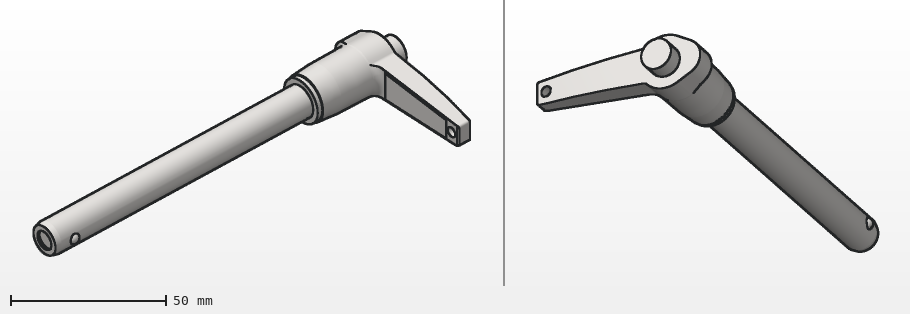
import cadquery as cq
import math


TOTAL_LENGTH = 150.6
HEAD_BACK = 144.1
HEAD_FRONT = 135.7
SLEEVE_BREAK = 119.6
COLLAR_BACK = 111.9
COLLAR_FRONT = 110

SHANK_RADIUS = 12 / 2
TIP_CHAMFER_LENGTH = 2.3
TIP_RADIUS = 5.4
TIP_RECESS_RADIUS = 6.8 / 2
TIP_RECESS_DEPTH = 0.9
BUTTON_RADIUS = 10.7 / 2
BALL_RADIUS = 4.0 / 2
BALL_POSITION = 7.8
BALL_PROTRUSION = 1.2

HEAD_RADIUS = 18.8 / 2
NECK_RADIUS = 9.3
SLEEVE_MID_RADIUS = 9.2
SLEEVE_END_RADIUS = 8.6
COLLAR_RADIUS = 16.4 / 2
FLARE_RADIUS = 2.5
LUG_REACH = 12.7
LUG_RADIUS = 6.5

HANDLE_END = 60.2 - LUG_REACH
HANDLE_ROOT_HALF_WIDTH = 6.2
HANDLE_END_HALF_WIDTH = 4.0
HANDLE_NECK_RADIUS = 1.5
HANDLE_CURVE_START = 8.1
HANDLE_END_DROP = 3.5
HANDLE_END_ROUND = 0.9
END_BEVEL_LENGTH = 0.9
END_BEVEL_DEPTH = 0.3
PAD_START = 12
PAD_END = 41.7
PAD_HEIGHT = 0.3
PAD_BEVEL = 0.6
LANYARD_HOLE_RADIUS = 3.6 / 2
LANYARD_HOLE_X = 44.1

CLEARANCE = 1.5


def extrude_along_y(outline, start, end):
    """Extrude an XZ outline, given as a function of a workplane, between two Y positions."""
    return outline(cq.Workplane("XZ", origin=(0, end, 0))).extrude(end - start)


def handle_half_width(x):
    """Half width of the straight-tapered handle at a distance from the pin axis."""
    taper = (HANDLE_ROOT_HALF_WIDTH - HANDLE_END_HALF_WIDTH) / (HANDLE_END - HANDLE_CURVE_START)
    return HANDLE_ROOT_HALF_WIDTH - taper * (x - HANDLE_CURVE_START)


def lug_outline(plane):
    """Wedge between the head circle and the lug round, bounded by their common tangents."""
    lug_x = LUG_RADIUS - LUG_REACH
    sine = (HEAD_RADIUS - LUG_RADIUS) / -lug_x
    cosine = math.sqrt(1 - sine**2)
    head_x, head_z = -HEAD_RADIUS * sine, HEAD_RADIUS * cosine
    tangent_x, tangent_z = lug_x - LUG_RADIUS * sine, LUG_RADIUS * cosine
    return (
        plane.moveTo(head_x, head_z)
        .lineTo(tangent_x, tangent_z)
        .threePointArc((-LUG_REACH, 0), (tangent_x, -tangent_z))
        .lineTo(head_x, -head_z)
        .threePointArc((HEAD_RADIUS, 0), (head_x, head_z))
        .close()
    )


def handle_outline(plane):
    """Tapered lever outline from the pin axis to the handle end."""
    root = handle_half_width(0)
    return plane.polyline(
        [
            (0, -root),
            (HANDLE_END, -HANDLE_END_HALF_WIDTH),
            (HANDLE_END, HANDLE_END_HALF_WIDTH),
            (0, root),
        ]
    ).close()


def make_plan(start, end):
    """Head and handle as one prism, with the two neck corners rounded."""
    handle = extrude_along_y(handle_outline, start, end)
    handle = handle.edges("|Y and >X").fillet(HANDLE_END_ROUND)
    plan = extrude_along_y(lug_outline, start, end).union(handle)
    neck = cq.selectors.BoxSelector(
        (HEAD_RADIUS / 2, start - CLEARANCE, -HEAD_RADIUS), (HEAD_RADIUS, end + CLEARANCE, HEAD_RADIUS)
    )
    return plan.edges("|Y").edges(neck).fillet(HANDLE_NECK_RADIUS)


def make_lever():
    """Head and handle with the handle's back face falling away in a tangent arc and a bevelled front tip."""
    run = HANDLE_END - HANDLE_CURVE_START
    arc_radius = (run**2 + HANDLE_END_DROP**2) / (2 * HANDLE_END_DROP)
    mid_drop = arc_radius - math.sqrt(arc_radius**2 - (run / 2) ** 2)
    profile = (
        cq.Workplane("XY")
        .moveTo(-LUG_REACH, HEAD_FRONT)
        .lineTo(HANDLE_END - END_BEVEL_LENGTH, HEAD_FRONT)
        .lineTo(HANDLE_END, HEAD_FRONT + END_BEVEL_DEPTH)
        .lineTo(HANDLE_END, HEAD_BACK - HANDLE_END_DROP)
        .threePointArc((HANDLE_CURVE_START + run / 2, HEAD_BACK - mid_drop), (HANDLE_CURVE_START, HEAD_BACK))
        .lineTo(-LUG_REACH, HEAD_BACK)
        .close()
        .extrude(HEAD_RADIUS, both=True)
    )
    return make_plan(HEAD_FRONT, HEAD_BACK).intersect(profile)


def make_flare():
    """Concave round between the sleeve and the head's front face, kept inside the head outline."""
    front = HEAD_FRONT - FLARE_RADIUS
    outer = NECK_RADIUS + FLARE_RADIUS
    bend = FLARE_RADIUS * math.sqrt(0.5)
    ring = (
        cq.Workplane("XY")
        .moveTo(0, front)
        .lineTo(NECK_RADIUS, front)
        .threePointArc((outer - bend, front + bend), (outer, HEAD_FRONT))
        .lineTo(0, HEAD_FRONT)
        .close()
        .revolve(360, (0, 0, 0), (0, 1, 0))
    )
    return ring.intersect(make_plan(front, HEAD_FRONT))


def make_pad():
    """Slightly raised panel on the handle's front face with bevelled long edges."""

    def section(x):
        base = handle_half_width(x)
        crest = base - PAD_BEVEL
        crest_y = HEAD_FRONT - PAD_HEIGHT
        points = [(HEAD_FRONT, -base), (crest_y, -crest), (crest_y, crest), (HEAD_FRONT, base)]
        return cq.Wire.makePolygon([cq.Vector(x, y, z) for y, z in points], close=True)

    return cq.Workplane(cq.Solid.makeLoft([section(PAD_START), section(PAD_END)], True))


def make_turned_body():
    """Button, sleeve, collar and shank as one turned shape with a recessed tip."""
    points = [
        (0, TIP_RECESS_DEPTH),
        (TIP_RECESS_RADIUS, TIP_RECESS_DEPTH),
        (TIP_RECESS_RADIUS, 0),
        (TIP_RADIUS, 0),
        (SHANK_RADIUS, TIP_CHAMFER_LENGTH),
        (SHANK_RADIUS, COLLAR_FRONT),
        (COLLAR_RADIUS, COLLAR_FRONT),
        (COLLAR_RADIUS, COLLAR_BACK),
        (SLEEVE_END_RADIUS, COLLAR_BACK),
        (SLEEVE_MID_RADIUS, SLEEVE_BREAK),
        (NECK_RADIUS, HEAD_FRONT - FLARE_RADIUS),
        (NECK_RADIUS, HEAD_FRONT),
        (BUTTON_RADIUS, HEAD_FRONT),
        (BUTTON_RADIUS, TOTAL_LENGTH),
        (0, TOTAL_LENGTH),
    ]
    return cq.Workplane("XY").polyline(points).close().revolve(360, (0, 0, 0), (0, 1, 0))


def make_balls():
    """Two locking balls standing out of opposite sides of the shank."""
    ball_x = SHANK_RADIUS + BALL_PROTRUSION - BALL_RADIUS
    centers = [(-ball_x, BALL_POSITION), (ball_x, BALL_POSITION)]
    return cq.Workplane("XY").pushPoints(centers).sphere(BALL_RADIUS)


def lanyard_hole_outline(plane):
    return plane.center(LANYARD_HOLE_X, 0).circle(LANYARD_HOLE_RADIUS)


lanyard_hole = extrude_along_y(lanyard_hole_outline, HEAD_FRONT - CLEARANCE, HEAD_BACK)
result = (
    make_turned_body()
    .union(make_lever())
    .union(make_flare())
    .union(make_pad())
    .union(make_balls())
    .cut(lanyard_hole)
)